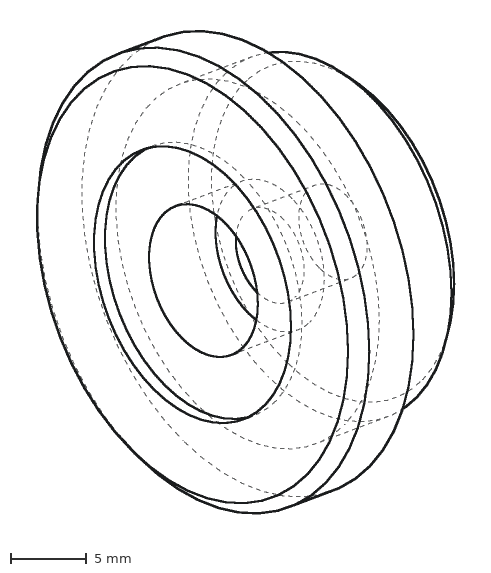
import cadquery as cq

flange_diameter = 32.0
flange_thickness = 5.0
flange_chamfer = 1.0
total_length = 12.7
hub_diameter = 25.4
hub_chamfer_length = 1.2
hub_chamfer_radial = 1.0

recess_diameter = 19.0
recess_depth = 1.0
counterbore_diameter = 10.5
counterbore_end = 7.0
through_diameter = 6.6

front_y = -total_length / 2


def cylinder(diameter, start, length):
    """Cylinder along +Y, starting at a distance behind the flange face."""
    plane = cq.Workplane("XZ", origin=(0, front_y + start, 0))
    return plane.circle(diameter / 2).extrude(-length)


flange = cylinder(flange_diameter, 0, flange_thickness)
flange = flange.faces("<Y").edges().chamfer(flange_chamfer)

hub = cylinder(hub_diameter, 0, total_length)
hub = hub.faces(">Y").edges().chamfer(hub_chamfer_length, hub_chamfer_radial)

result = (
    flange.union(hub)
    .cut(cylinder(recess_diameter, 0, recess_depth))
    .cut(cylinder(counterbore_diameter, 0, counterbore_end))
    .cut(cylinder(through_diameter, 0, total_length))
)